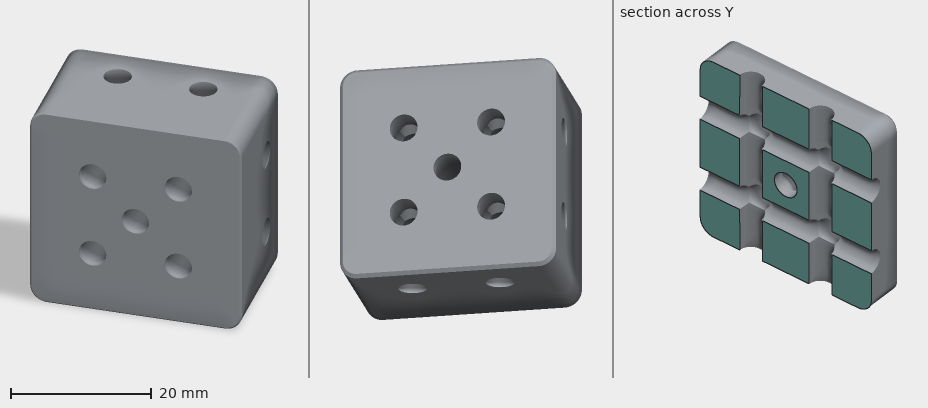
import cadquery as cq

side = 31.37
depth = 19.05
corner_radius = 2.5
front_chamfer = 0.254
back_chamfer = 0.508

hole_diameter = 4.04
hole_pitch = 12.7
cross_hole_setback = 6.35

half_pitch = hole_pitch / 2
back_y = depth / 2
cross_hole_y = back_y - cross_hole_setback


def through_hole(center, axis):
    """Cutter along a principal axis, long enough to pass right through the block."""
    direction = cq.Vector(*axis)
    start = cq.Vector(*center) - direction * side
    return cq.Workplane(cq.Solid.makeCylinder(hole_diameter / 2, 2 * side, start, direction))


def rounded_block():
    block = cq.Workplane("XY").box(side, depth, side)
    block = block.edges("|Y").fillet(corner_radius)
    block = block.faces("<Y").chamfer(front_chamfer)
    return block.faces(">Y").chamfer(back_chamfer)


def drill_front_holes(block):
    """Square of four holes along Y, plus one in the middle."""
    block = block.cut(through_hole((0, 0, 0), (0, 1, 0)))
    for x in (-half_pitch, half_pitch):
        for z in (-half_pitch, half_pitch):
            block = block.cut(through_hole((x, 0, z), (0, 1, 0)))
    return block


def drill_cross_holes(block):
    """A pair of holes along Z and a pair along X, all in one plane of constant Y."""
    for offset in (-half_pitch, half_pitch):
        block = block.cut(through_hole((offset, cross_hole_y, 0), (0, 0, 1)))
        block = block.cut(through_hole((0, cross_hole_y, offset), (1, 0, 0)))
    return block


result = drill_cross_holes(drill_front_holes(rounded_block()))